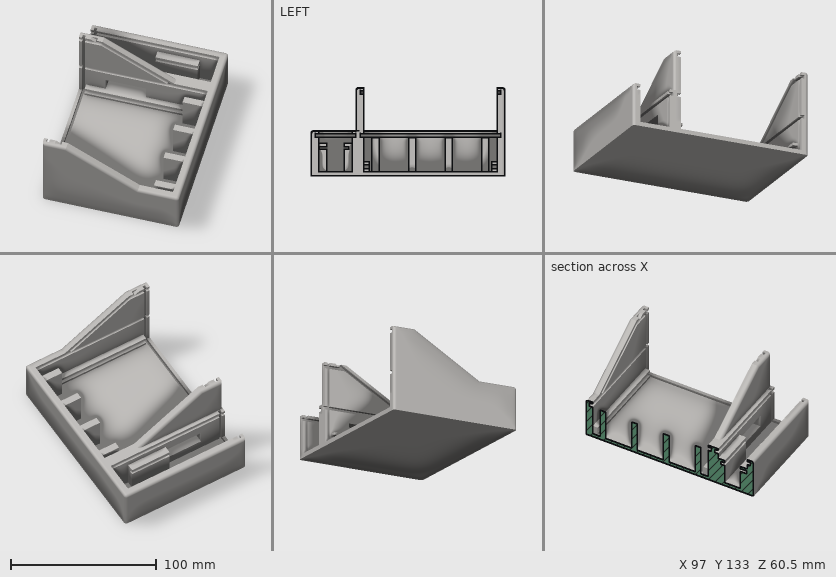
import cadquery as cq
import math

WIDTH = 97.0
DEPTH = 133.0
HEIGHT = 60.5

LOW_HEIGHT = 31.0
FLOOR = 3.0
WALL = 5.3
DIVIDER = 8.1
REAR_COMPARTMENT = 22.7
EDGE_RADIUS = 2.0

FLAT_TOP = 16.9
SLOPE_ANGLE = math.radians(30)
SLOPE = math.tan(SLOPE_ANGLE)

GROOVE_DEPTH = 2.5
LIP = 2.0
LID_GROOVE = 2.4
SLOPE_GROOVE = 2.3
FRONT_LIP = 2.3
FRONT_GROOVE = 2.0

RIB_COUNT = 4
RIB_PITCH = 25.1
RIB_WIDTH = 4.9
RIB_LENGTH = 15.0
RIB_DROP = 0.2

RAIL_START = 5.2
RAIL_WIDTH = 3.9
RAIL_HEIGHT = 6.6
RAIL_SLOT_BASE = 1.7
RAIL_SLOT_HEIGHT = 3.0
RAIL_END_WALL = 1.0

BLOCK_START = 47.6
BLOCK_LENGTH = 30.0
BLOCK_WIDTH = 5.3
BLOCK_TOP = 22.6
NOTCH_BASE = 18.2
NOTCH_HEIGHT = 2.0
REAR_NOTCH_DEPTH = 4.9
DIVIDER_NOTCH_DEPTH = 3.0

WINDOW_START = 19.2
WINDOW_TOP = 19.2

inner_end = WIDTH - WALL
main_front = WALL
rear_back = DEPTH - WALL
divider_back = rear_back - REAR_COMPARTMENT
main_back = divider_back - DIVIDER
lid_floor = LOW_HEIGHT - LIP - LID_GROOVE
slope_end = FLAT_TOP + (HEIGHT - LOW_HEIGHT) / SLOPE
rail_end = inner_end - RIB_LENGTH
rail_top = FLOOR + RAIL_HEIGHT


def box(x0, x1, y0, y1, z0, z1):
    """Axis-aligned box between two opposite corners."""
    return cq.Workplane("XY").box(x1 - x0, y1 - y0, z1 - z0, centered=False).translate((x0, y0, z0))


def prism(points, y0, y1):
    """Outline of (x, z) points extruded from y0 to y1."""
    return cq.Workplane("XZ", origin=(0, y0, 0)).polyline(points).close().extrude(y0 - y1)


def outer_shell():
    """Low block with a sloped front wall, rounded on its outer edges."""
    wall_outline = [
        (0, 0),
        (WIDTH, 0),
        (WIDTH, LOW_HEIGHT),
        (slope_end, LOW_HEIGHT),
        (FLAT_TOP, HEIGHT),
        (0, HEIGHT),
    ]
    shell = box(0, WIDTH, 0, DEPTH, 0, LOW_HEIGHT).union(prism(wall_outline, 0, WALL))
    rounded = shell.faces("<Y or >Y or >X").edges("not <Z")
    return rounded.fillet(EDGE_RADIUS)


def raised_divider():
    """Sloped wall standing on the divider, rounded on its rear side."""
    reach = EDGE_RADIUS * 2
    base = LOW_HEIGHT - reach
    outline = [(0, base), (slope_end + reach / SLOPE, base), (FLAT_TOP, HEIGHT), (0, HEIGHT)]
    wall = prism(outline, main_back, main_back + WALL)
    wall = wall.faces(">Y").edges("not <Z").fillet(EDGE_RADIUS)
    return wall.intersect(box(0, WIDTH, 0, DEPTH, LOW_HEIGHT, HEIGHT))


def lid_groove(y0, y1):
    """Level slot under the low rim, open at the open end."""
    end = inner_end + GROOVE_DEPTH
    return box(0, end, y0 - GROOVE_DEPTH, y1 + GROOVE_DEPTH, lid_floor, lid_floor + LID_GROOVE)


def front_groove(y0, y1, top):
    """Upright slot for the panel that closes the open end."""
    inner_face = FRONT_LIP + FRONT_GROOVE
    bottom = FLOOR - GROOVE_DEPTH
    return box(FRONT_LIP, inner_face, y0 - GROOVE_DEPTH, y1 + GROOVE_DEPTH, bottom, top)


def sloped_lid_groove():
    """Slot across both raised walls: level at the top, joined by a run parallel to the slope."""
    y0 = main_front - GROOVE_DEPTH
    y1 = main_back + GROOVE_DEPTH
    sine = math.sin(SLOPE_ANGLE)
    upper = FLAT_TOP - LIP / sine
    lower = upper - SLOPE_GROOVE / sine
    run = (HEIGHT - lid_floor) / SLOPE
    slope_outline = [
        (lower, HEIGHT),
        (upper, HEIGHT),
        (upper + run, lid_floor),
        (lower + run, lid_floor),
    ]
    slope_slot = prism(slope_outline, y0, y1)
    level_floor = HEIGHT - LIP - LID_GROOVE
    level_end = lower + (HEIGHT - level_floor) / SLOPE
    level_slot = box(0, level_end, y0, y1, level_floor, level_floor + LID_GROOVE)
    return slope_slot.union(level_slot)


def ribs():
    """Evenly spaced ribs centred on the end wall of the main compartment."""
    first = (main_front + main_back - (RIB_COUNT - 1) * RIB_PITCH - RIB_WIDTH) / 2
    row = cq.Workplane("XY")
    for i in range(RIB_COUNT):
        y = first + i * RIB_PITCH
        row = row.union(box(rail_end, inner_end, y, y + RIB_WIDTH, FLOOR, lid_floor - RIB_DROP))
    return row


def rail(y):
    """Rail slotted lengthwise, closed at its inner end."""
    slot_floor = FLOOR + RAIL_SLOT_BASE
    slot_end = rail_end - RAIL_END_WALL
    slot = box(RAIL_START, slot_end, y, y + RAIL_WIDTH, slot_floor, slot_floor + RAIL_SLOT_HEIGHT)
    bar = box(RAIL_START, rail_end, y, y + RAIL_WIDTH, FLOOR, rail_top)
    return bar.cut(slot)


def notched_block(y, notch_y, notch_depth):
    """Block on the floor of the rear compartment with a notch along it."""
    end = BLOCK_START + BLOCK_LENGTH
    notch = box(BLOCK_START, end, notch_y, notch_y + notch_depth, NOTCH_BASE, NOTCH_BASE + NOTCH_HEIGHT)
    return box(BLOCK_START, end, y, y + BLOCK_WIDTH, FLOOR, BLOCK_TOP).cut(notch)


result = outer_shell().union(raised_divider())

for y0, y1, groove_top in [(main_front, main_back, HEIGHT), (divider_back, rear_back, LOW_HEIGHT)]:
    result = result.cut(box(0, inner_end, y0, y1, FLOOR, LOW_HEIGHT))
    result = result.cut(lid_groove(y0, y1))
    result = result.cut(front_groove(y0, y1, groove_top))
result = result.cut(sloped_lid_groove())

result = result.cut(box(WINDOW_START, BLOCK_START, main_back, divider_back, rail_top, WINDOW_TOP))

rear_block_front = rear_back - BLOCK_WIDTH
divider_notch = divider_back + BLOCK_WIDTH - DIVIDER_NOTCH_DEPTH
result = (
    result.union(ribs())
    .union(rail(main_front))
    .union(rail(main_back - RAIL_WIDTH))
    .union(notched_block(rear_block_front, rear_block_front, REAR_NOTCH_DEPTH))
    .union(notched_block(divider_back, divider_notch, DIVIDER_NOTCH_DEPTH))
)